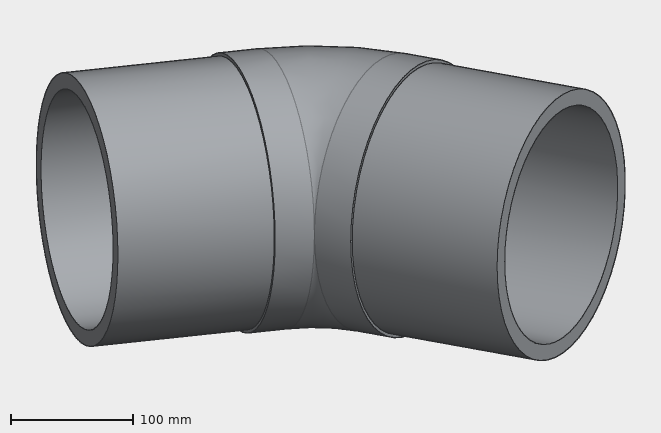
import cadquery as cq
import math

overall_length = 446.5
bend_angle = 45.0
collar_diameter = 230.5
pipe_diameter = 225.0
bore_diameter = 198.5
collar_length = 33.5
inner_bend_radius = 0.1

angle = math.radians(bend_angle)

outer_bend_radius = collar_diameter / 2 + inner_bend_radius
bore_bend_radius = bore_diameter / 2 + inner_bend_radius

rim_rise = (outer_bend_radius + pipe_diameter / 2) * math.sin(angle)
leg_length = (overall_length - rim_rise) / (1 + math.cos(angle))

bore_bend_start = (outer_bend_radius - bore_bend_radius) * math.tan(angle / 2)


def straight(diameter, start, end):
    """Cylinder on the inlet axis between two Y positions."""
    return cq.Workplane("XZ", origin=(0, start, 0)).circle(diameter / 2).extrude(start - end)


def outlet_copy(inlet):
    """Reproduce an inlet feature at the outlet by mirroring and turning it."""
    pivot = (outer_bend_radius, 0, 0)
    pivot_top = (outer_bend_radius, 0, 1)
    return inlet.mirror("XZ").rotate(pivot, pivot_top, -bend_angle)


def bent_rod(diameter, bend_radius, start, bend_start):
    """Round rod with equal straight ends and a bend between them."""
    inlet = straight(diameter, start, bend_start)
    bend = (
        cq.Workplane("XZ", origin=(0, bend_start, 0))
        .circle(diameter / 2)
        .revolve(bend_angle, (bend_radius, 4.5, 0), (bend_radius, 0, 0))
    )
    return bend.union(inlet).union(outlet_copy(inlet))


elbow = bent_rod(collar_diameter, outer_bend_radius, -collar_length, 0)

pipe_end = straight(pipe_diameter, -leg_length, -collar_length)
body = elbow.union(pipe_end).union(outlet_copy(pipe_end))

bore = bent_rod(bore_diameter, bore_bend_radius, -leg_length, bore_bend_start)

result = body.cut(bore)